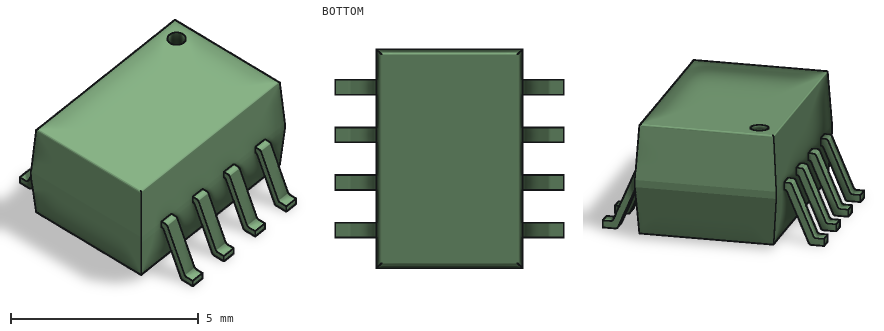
import cadquery as cq
import math

housing_length_x = 3.9
housing_length_y = 5.84
top_z = 3.23
bottom_z = 0.15
taper_inset = 0.1
rim_radius = 0.05

marker_diameter = 0.49
marker_depth = 0.49
marker_x = -1.32
marker_y = 2.275

lead_span = 6.1
lead_thickness = 0.2
lead_width = 0.4
lead_pitch = 1.27
leads_per_side = 4
lead_top_z = 1.695
foot_length = 0.27
leg_angle = 66.8
bend_radius = 0.085

band_top_z = lead_top_z
band_bottom_z = lead_top_z - lead_thickness


def tapered_half(band_z, rim_z):
    """Frustum from the full outline at the band to the inset outline at the rim."""
    return (
        cq.Workplane("XY", origin=(0, 0, band_z))
        .rect(housing_length_x, housing_length_y)
        .workplane(offset=rim_z - band_z)
        .rect(housing_length_x - 2 * taper_inset, housing_length_y - 2 * taper_inset)
        .loft(ruled=True)
    )


def make_housing():
    band = (
        cq.Workplane("XY", origin=(0, 0, band_bottom_z))
        .rect(housing_length_x, housing_length_y)
        .extrude(lead_thickness)
    )
    upper_half = tapered_half(band_top_z, top_z).faces(">Z").edges().fillet(rim_radius)
    lower_half = tapered_half(band_bottom_z, bottom_z).faces("<Z").edges().fillet(rim_radius)
    marker = (
        cq.Workplane("XY", origin=(marker_x, marker_y, top_z))
        .circle(marker_diameter / 2)
        .extrude(-marker_depth)
    )
    return band.union(upper_half, clean=False).union(lower_half, clean=False).cut(marker)


def make_lead(side, center_y):
    """One lead, on the -X side (side = -1) or the +X side (side = 1), ending at the housing wall."""
    toe_x = lead_span / 2
    wall_x = housing_length_x / 2
    foot_x = toe_x - foot_length
    leg_run = (lead_top_z - lead_thickness) / math.tan(math.radians(leg_angle))
    shoulder_x = foot_x - leg_run
    miter_shift = lead_thickness * math.tan(math.radians(leg_angle / 2))

    outline = [
        (toe_x, 0),
        (toe_x, lead_thickness),
        (foot_x, lead_thickness),
        (shoulder_x, lead_top_z),
        (wall_x, lead_top_z),
        (wall_x, band_bottom_z),
        (shoulder_x - miter_shift, band_bottom_z),
        (foot_x - miter_shift, 0),
    ]
    end_clearance = bend_radius / 4
    bend_box = cq.selectors.BoxSelector(
        (side * (wall_x + end_clearance), -housing_length_y, -end_clearance),
        (side * (toe_x - end_clearance), housing_length_y, top_z),
    )
    return (
        cq.Workplane("XZ", origin=(0, center_y + lead_width / 2, 0))
        .polyline([(side * x, z) for x, z in outline])
        .close()
        .extrude(lead_width)
        .edges("|Y")
        .edges(bend_box)
        .fillet(bend_radius)
    )


housing = make_housing()

leads = []
for side in (-1, 1):
    for index in range(leads_per_side):
        center_y = (index - (leads_per_side - 1) / 2) * lead_pitch
        leads.append(make_lead(side, center_y).val())

result = cq.Compound.makeCompound([housing.val(), *leads])